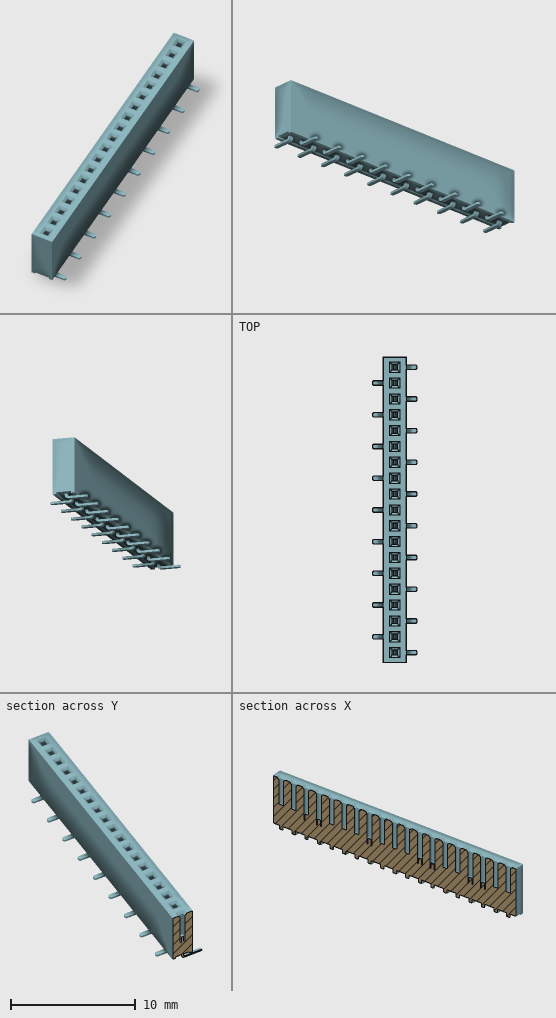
import cadquery as cq

PIN_COUNT = 19
PITCH = 1.27
LENGTH = 24.48
WIDTH = 1.85
TOP_Z = 4.83
FOOT_Z = 0.24
CHANNEL_HEIGHT = 0.15
RAIL_WIDTH = 0.3

MOUTH_SIZE = 0.82
THROAT_SIZE = 0.42
MOUTH_DEPTH = 0.19
SOCKET_DEPTH = 3.0

CONTACT_WIDTH = 0.38
SHEET_THICKNESS = 0.18
STEM_THICKNESS = 0.22
LEAD_SPAN = 3.58
BEND_RADIUS = 0.1
TIP_CROWN = 0.1
CONTACT_TOP_Z = 2.4

SOCKET_FLOOR_Z = TOP_Z - SOCKET_DEPTH
FIRST_PIN_Y = -(PIN_COUNT - 1) * PITCH / 2


def make_housing():
    """Long block with a channel between two rails along its underside."""
    block = cq.Workplane("XY", origin=(0, 0, FOOT_Z)).rect(WIDTH, LENGTH).extrude(TOP_Z - FOOT_Z)
    channel = (
        cq.Workplane("XY", origin=(0, 0, FOOT_Z))
        .rect(WIDTH - 2 * RAIL_WIDTH, LENGTH)
        .extrude(CHANNEL_HEIGHT)
    )
    return block.cut(channel)


def make_socket(y):
    """Square blind hole with a tapered lead-in mouth."""
    throat = (
        cq.Workplane("XY", origin=(0, y, SOCKET_FLOOR_Z))
        .rect(THROAT_SIZE, THROAT_SIZE)
        .extrude(SOCKET_DEPTH)
    )
    mouth = (
        cq.Workplane("XY", origin=(0, y, TOP_Z - MOUTH_DEPTH))
        .rect(THROAT_SIZE, THROAT_SIZE)
        .workplane(offset=MOUTH_DEPTH)
        .rect(MOUTH_SIZE, MOUTH_SIZE)
        .loft(ruled=True)
    )
    return throat.union(mouth)


def make_contact(y, side):
    """Upright stem bent into a flat lead that points to +X (side = 1) or -X (side = -1)."""
    half_stem = STEM_THICKNESS / 2
    tip_x = side * LEAD_SPAN / 2
    shoulder_x = tip_x - side * TIP_CROWN
    half_width = CONTACT_WIDTH / 2
    outer_radius = BEND_RADIUS + SHEET_THICKNESS
    strip = (
        cq.Workplane("XZ", origin=(0, y + half_width, 0))
        .moveTo(-side * half_stem, CONTACT_TOP_Z)
        .lineTo(-side * half_stem, outer_radius)
        .radiusArc((side * (outer_radius - half_stem), 0), -side * outer_radius)
        .lineTo(shoulder_x, 0)
        .lineTo(shoulder_x, SHEET_THICKNESS)
        .lineTo(side * (half_stem + BEND_RADIUS), SHEET_THICKNESS)
        .radiusArc((side * half_stem, SHEET_THICKNESS + BEND_RADIUS), side * BEND_RADIUS)
        .lineTo(side * half_stem, CONTACT_TOP_Z)
        .close()
        .extrude(CONTACT_WIDTH)
    )
    round_tip = (
        cq.Workplane("XY")
        .moveTo(shoulder_x, y - half_width)
        .threePointArc((tip_x, y), (shoulder_x, y + half_width))
        .close()
        .extrude(SHEET_THICKNESS)
    )
    return strip.union(round_tip)


pin_rows = [FIRST_PIN_Y + index * PITCH for index in range(PIN_COUNT)]

result = make_housing()
for pin_y in pin_rows:
    result = result.cut(make_socket(pin_y))

for index, pin_y in enumerate(pin_rows):
    lead_side = 1 if index % 2 == 0 else -1
    result = result.union(make_contact(pin_y, lead_side))